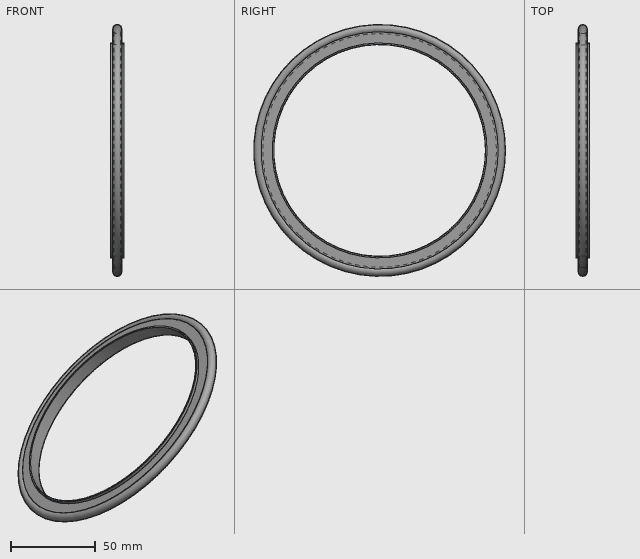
import cadquery as cq

outer_diameter = 148.8
seal_cord_diameter = 5.4
flange_diameter = 140.0
flange_width = 4.5
sleeve_diameter = 127.0
bore_diameter = 125.0
sleeve_width = 8.0

seal_centre_radius = (outer_diameter - seal_cord_diameter) / 2


def revolve_about_x(profile):
    """Turn a profile drawn in the XY plane once around the X axis."""
    return profile.revolve(360, (0, 0, 0), (1, 0, 0))


def make_seal():
    """O-ring with a round cord."""
    profile = cq.Workplane("XY").moveTo(0, seal_centre_radius).circle(seal_cord_diameter / 2)
    return revolve_about_x(profile)


def make_carrier(seal):
    """Thin sleeve with a central flange whose rim is hollowed to seat the seal."""
    half_sleeve = sleeve_width / 2
    half_flange = flange_width / 2
    profile = (
        cq.Workplane("XY")
        .moveTo(-half_sleeve, bore_diameter / 2)
        .lineTo(half_sleeve, bore_diameter / 2)
        .lineTo(half_sleeve, sleeve_diameter / 2)
        .lineTo(half_flange, sleeve_diameter / 2)
        .lineTo(half_flange, flange_diameter / 2)
        .lineTo(-half_flange, flange_diameter / 2)
        .lineTo(-half_flange, sleeve_diameter / 2)
        .lineTo(-half_sleeve, sleeve_diameter / 2)
        .close()
    )
    return revolve_about_x(profile).cut(seal)


seal = make_seal()
carrier = make_carrier(seal)

result = cq.Compound.makeCompound([carrier.val(), seal.val()])